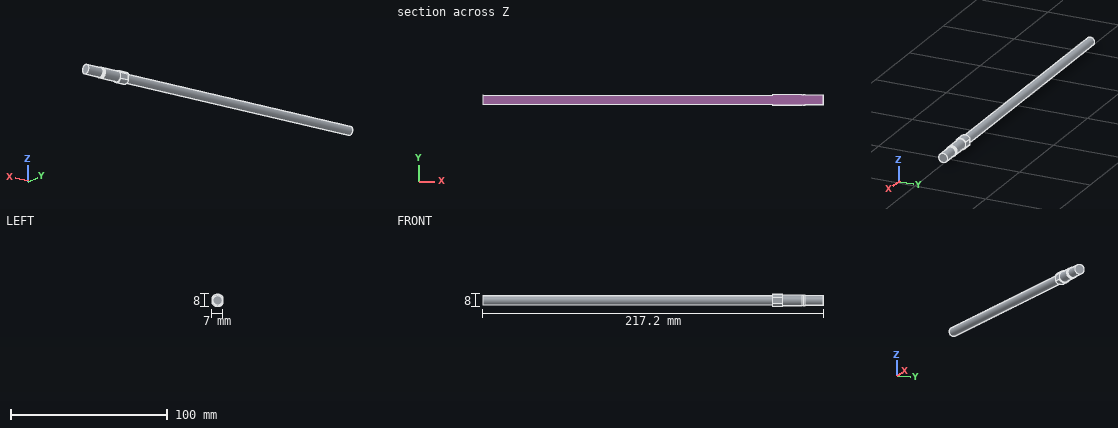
import cadquery as cq

total_length = 217.21
collar_start = 184.7
collar_length = 6.5
tip_length = 11.6

groove_width = 0.9
land_width = 1.0

rod_diameter = 5.95
collar_diameter = 8.0
body_diameter = 7.0
groove_diameter = 6.7
tip_diameter = 6.4

across_flats = body_diameter

collar_end = collar_start + collar_length
land_end = total_length - tip_length
land_start = land_end - land_width
groove_start = land_start - groove_width


def turned_shaft():
    """Stepped round shaft, built as one half profile revolved about the X axis."""
    sections = [
        (rod_diameter, collar_start),
        (collar_diameter, collar_end),
        (body_diameter, groove_start),
        (groove_diameter, land_start),
        (body_diameter, land_end),
        (tip_diameter, total_length),
    ]
    profile = cq.Workplane("XY").moveTo(0, 0)
    section_start = 0
    for diameter, section_end in sections:
        profile = profile.lineTo(section_start, -diameter / 2)
        profile = profile.lineTo(section_end, -diameter / 2)
        section_start = section_end
    profile = profile.lineTo(total_length, 0).close()
    return profile.revolve(360, (0, 0, 0), (1, 0, 0))


def cut_wrench_flats(shaft):
    """Cut two opposite flats, facing -Y and +Y, along the full length of the collar."""
    flat_depth = (collar_diameter - across_flats) / 2
    flat_center_y = (across_flats + flat_depth) / 2
    collar_middle = collar_start + collar_length / 2
    for side in (-1, 1):
        waste = cq.Workplane("XY").box(collar_length, flat_depth, collar_diameter)
        shaft = shaft.cut(waste.translate((collar_middle, side * flat_center_y, 0)))
    return shaft


result = cut_wrench_flats(turned_shaft())